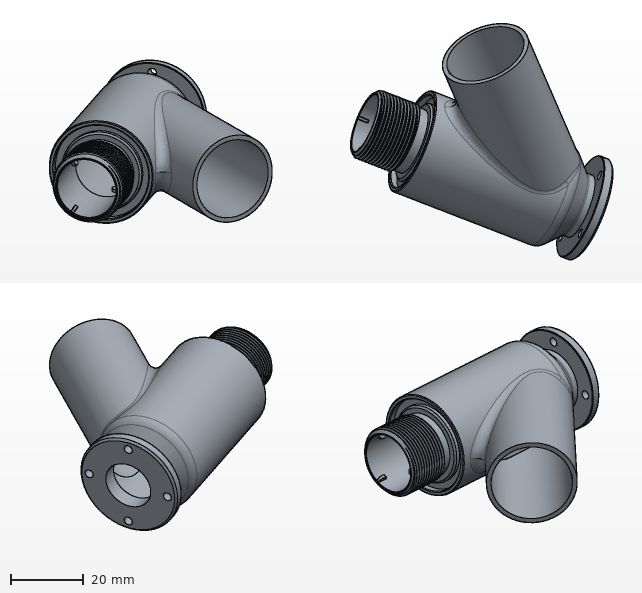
import cadquery as cq
import math

total_length = 69.15

flange_radius = 14.9
flange_thickness = 3.05
flange_back_bevel = 0.6
flange_front_bevel = 0.2
flange_hole_count = 4
flange_hole_diameter = 2.5
flange_hole_circle_radius = 12.0

body_radius = 14.85
body_bottom = 14.5
body_edge_bevel = 0.3
shoulder_round = 4.0
neck_radius = 9.2
cone_start_height = 58.35
wall = 1.3
neck_fillet = 0.7
outlet_radius = 6.9

recess_depth = 2.0
plate_thickness = 2.0
boss_radius = 11.4
boss_bevel = 0.55
boss_setback = 0.35

thread_pitch = 1.0
thread_root_radius = 9.3
thread_crest_radius = 10.0
thread_root_width = 0.75
thread_crest_width = 0.15
thread_length = 12.0
thread_overlap = 0.15
spigot_bore_radius = 8.4
spigot_end_radius = 8.85
mouth_bevel = 0.2

fin_angles = [0, 120, 240]
fin_thickness = 0.8
fin_radius = 1.5

branch_radius = 12.5
branch_end_x = 36.3
branch_end_y = 19.15
junction_fillet = 2.35

flange_bottom = total_length - flange_thickness
cone_end_height = cone_start_height + body_radius - neck_radius
bore_radius = body_radius - wall
cone_reach = cone_start_height + body_radius
inner_cone_reach = cone_reach - wall * math.sqrt(2)
plate_bottom = body_bottom + recess_depth
plate_top = plate_bottom + plate_thickness
branch_length = branch_end_x * math.sqrt(2)


def revolve(points):
    """Solid of revolution about Y from (radius, height) points."""
    return cq.Workplane("XY").polyline(points).close().revolve(360, (0, 0, 0), (0, 1, 0))


def branch_cylinder(radius):
    """Cylinder from the main axis out to the open end of the branch."""
    plane = cq.Plane(origin=(branch_end_x, branch_end_y, 0), xDir=(-1, -1, 0), normal=(-1, 1, 0))
    return cq.Workplane(plane).circle(radius).extrude(branch_length)


def body_outline():
    """Outer form of the body, from its lower rim up to the flange."""
    tangent = shoulder_round * math.tan(math.radians(22.5))
    diagonal = shoulder_round * math.sin(math.radians(45))
    centre_radius = body_radius - shoulder_round
    arc_start = cone_start_height - tangent
    mid_angle = math.radians(22.5)
    arc_mid = (
        centre_radius + shoulder_round * math.cos(mid_angle),
        arc_start + shoulder_round * math.sin(mid_angle),
    )
    arc_end = (centre_radius + diagonal, arc_start + diagonal)
    return (
        cq.Workplane("XY")
        .moveTo(0, body_bottom)
        .lineTo(body_radius - body_edge_bevel, body_bottom)
        .lineTo(body_radius, body_bottom + body_edge_bevel)
        .lineTo(body_radius, arc_start)
        .threePointArc(arc_mid, arc_end)
        .lineTo(neck_radius, cone_end_height)
        .lineTo(neck_radius, flange_bottom)
        .lineTo(0, flange_bottom)
        .close()
        .revolve(360, (0, 0, 0), (0, 1, 0))
        .rotate((0, 0, 0), (0, 1, 0), -90)
        .edges(cq.selectors.NearestToPointSelector((0, cone_end_height, 0)))
        .fillet(neck_fillet)
    )


def body_with_branch():
    """Body and branch joined, with a fillet along the curve where they meet."""
    joined = body_outline().union(branch_cylinder(branch_radius))
    meeting_curve = [edge for edge in joined.edges().vals() if edge.geomType() == "BSPLINE"]
    return joined.newObject(meeting_curve).fillet(junction_fillet)


def flange():
    disc = revolve([
        (0, flange_bottom),
        (flange_radius - flange_front_bevel, flange_bottom),
        (flange_radius, flange_bottom + flange_front_bevel),
        (flange_radius, total_length - flange_back_bevel),
        (flange_radius - flange_back_bevel, total_length),
        (0, total_length),
    ])
    holes = (
        cq.Workplane("XZ", origin=(0, total_length, 0))
        .polarArray(flange_hole_circle_radius, 0, 360, flange_hole_count)
        .circle(flange_hole_diameter / 2)
        .extrude(flange_thickness)
    )
    return disc.cut(holes)


def cavity():
    """Hollow inside the body, running out through the neck and the flange."""
    return revolve([
        (0, plate_top),
        (bore_radius, plate_top),
        (bore_radius, inner_cone_reach - bore_radius),
        (outlet_radius, inner_cone_reach - outlet_radius),
        (outlet_radius, total_length),
        (0, total_length),
    ])


def bottom_recess():
    """Ring-shaped pocket in the lower end of the body, leaving a bevelled boss in the middle."""
    boss_bottom = body_bottom + boss_setback
    return revolve([
        (thread_root_radius, body_bottom),
        (bore_radius + body_edge_bevel, body_bottom),
        (bore_radius, body_bottom + body_edge_bevel),
        (bore_radius, plate_bottom),
        (boss_radius, plate_bottom),
        (boss_radius, boss_bottom + boss_bevel),
        (boss_radius - boss_bevel, boss_bottom),
        (thread_root_radius, boss_bottom),
    ])


def thread_ridge():
    """Right-handed helical ridge around Y, running past both ends of the finished thread."""
    flank_slope = (thread_root_width - thread_crest_width) / 2 / (thread_crest_radius - thread_root_radius)
    buried_half_width = thread_root_width / 2 + thread_overlap * flank_slope
    buried_radius = thread_root_radius - thread_overlap
    helix = cq.Wire.makeHelix(thread_pitch, thread_length + thread_pitch, thread_root_radius)
    return (
        cq.Workplane("XZ")
        .polyline([
            (buried_radius, -buried_half_width),
            (thread_crest_radius, -thread_crest_width / 2),
            (thread_crest_radius, thread_crest_width / 2),
            (buried_radius, buried_half_width),
        ])
        .close()
        .sweep(cq.Workplane(obj=helix), isFrenet=True)
        .rotate((0, 0, 0), (1, 0, 0), -90)
    )


def spigot():
    """Threaded end trimmed to length and bevelled, with a plain neck up to the closing plate."""
    core = revolve([
        (0, 0),
        (thread_root_radius, 0),
        (thread_root_radius, plate_bottom),
        (0, plate_bottom),
    ])
    trim_radius = thread_crest_radius + thread_overlap
    envelope = revolve([
        (0, 0),
        (spigot_end_radius, 0),
        (trim_radius, trim_radius - spigot_end_radius),
        (trim_radius, thread_length),
        (0, thread_length),
    ])
    threaded_end = core.union(thread_ridge()).intersect(envelope)
    neck = revolve([
        (0, thread_length),
        (thread_root_radius, thread_length),
        (thread_root_radius, plate_bottom),
        (0, plate_bottom),
    ])
    return threaded_end.union(neck)


def bore_fin(angle):
    """Half-disc fin standing in from the bore wall; the other half of its disc lies in the wall."""
    return (
        cq.Workplane("XY", origin=(spigot_bore_radius, fin_radius + mouth_bevel, -fin_thickness / 2))
        .circle(fin_radius)
        .extrude(fin_thickness)
        .rotate((0, 0, 0), (0, 1, 0), -angle)
    )


def spigot_bore():
    """Material to remove from the spigot: a plain bore with the fins left standing."""
    bore = revolve([
        (0, 0),
        (spigot_bore_radius + mouth_bevel, 0),
        (spigot_bore_radius, mouth_bevel),
        (spigot_bore_radius, plate_top),
        (0, plate_top),
    ])
    bore = bore.rotate((0, 0, 0), (0, 1, 0), 90)
    for angle in fin_angles:
        bore = bore.cut(bore_fin(angle))
    return bore


def branch_bore():
    return branch_cylinder(branch_radius - wall)


result = body_with_branch().union(flange())
result = result.cut(cavity()).cut(branch_bore()).cut(bottom_recess())
result = result.union(spigot()).cut(spigot_bore())